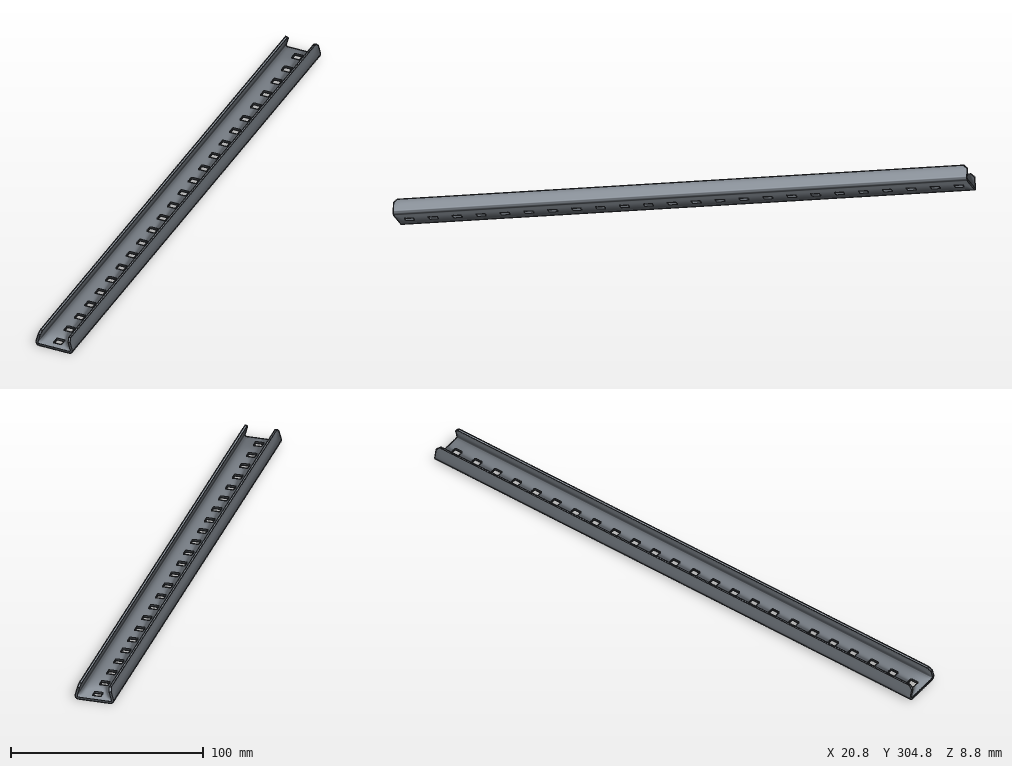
import cadquery as cq
import math

HOLE_PITCH = 12.7
HOLE_COUNT = 24
HOLE_SIZE = 4.6
HOLE_CORNER_RADIUS = 0.5
WIDTH = 20.84
HEIGHT = 8.8
THICKNESS = 1.2
BEND_RADIUS = 1.95
FLANGE_LEAN = 15.0
CORNER_CLIP = 1.9

LENGTH = HOLE_COUNT * HOLE_PITCH


def half_section():
    """Right half of the sheet section: half the base, the bend and one inward-leaning flange."""
    lean = math.radians(FLANGE_LEAN)
    bend_x = WIDTH / 2 - BEND_RADIUS
    bend_z = BEND_RADIUS
    inner_radius = BEND_RADIUS - THICKNESS
    bend_start = -math.pi / 2
    bend_middle = (bend_start + lean) / 2

    def on_bend(radius, angle):
        return (bend_x + radius * math.cos(angle), bend_z + radius * math.sin(angle))

    flange_x, flange_z = on_bend(BEND_RADIUS, lean)
    outer_top_x = flange_x - (HEIGHT - flange_z) * math.tan(lean)
    inner_top_x = outer_top_x - THICKNESS * math.cos(lean)
    inner_top_z = HEIGHT - THICKNESS * math.sin(lean)

    return (
        cq.Workplane("XZ")
        .moveTo(0, 0)
        .lineTo(bend_x, 0)
        .threePointArc(on_bend(BEND_RADIUS, bend_middle), (flange_x, flange_z))
        .lineTo(outer_top_x, HEIGHT)
        .lineTo(inner_top_x, inner_top_z)
        .lineTo(*on_bend(inner_radius, lean))
        .threePointArc(on_bend(inner_radius, bend_middle), on_bend(inner_radius, bend_start))
        .lineTo(0, THICKNESS)
        .close()
    )


def make_half():
    """Right half of the rail, its flange clipped at both ends square to the flange face."""
    lean = math.radians(FLANGE_LEAN)
    through_flange = cq.Vector(math.cos(lean), 0, math.sin(lean))
    return (
        half_section()
        .extrude(LENGTH / 2, both=True)
        .edges(cq.selectors.ParallelDirSelector(through_flange))
        .chamfer(CORNER_CLIP)
    )


def make_channel():
    """Full-length channel, mirrored about the middle of its base."""
    half = make_half()
    return half.union(half.mirror("YZ")).clean()


def base_holes():
    """Row of round-cornered square holes through the base, half a pitch in from each end."""
    return (
        cq.Workplane("XY")
        .rarray(HOLE_PITCH, HOLE_PITCH, 1, HOLE_COUNT)
        .rect(HOLE_SIZE, HOLE_SIZE)
        .extrude(THICKNESS)
        .edges("|Z")
        .fillet(HOLE_CORNER_RADIUS)
    )


result = make_channel().cut(base_holes())